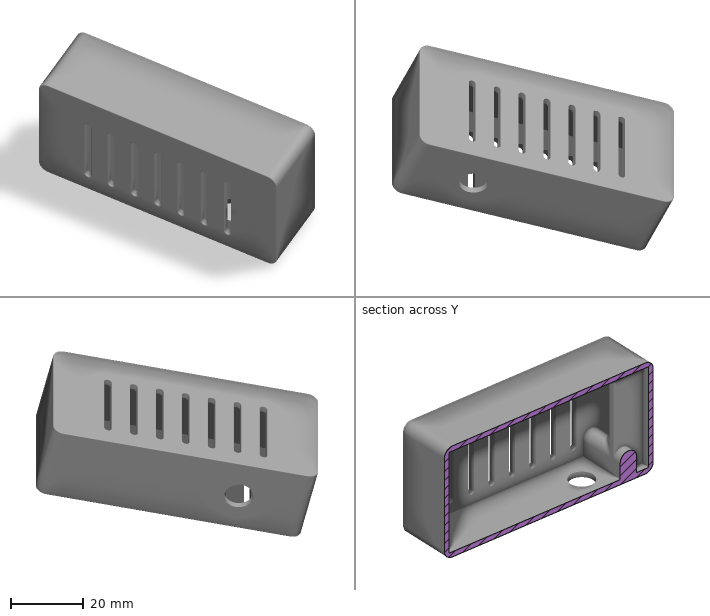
import cadquery as cq

LENGTH = 75.0
DEPTH = 22.2
HEIGHT = 36.0
CORNER_RADIUS = 3.0
EDGE_RADIUS = 0.2

WALL = 1.8
LID_THICKNESS = 2.0
FRONT_Y = -DEPTH / 2
BACK_Y = DEPTH / 2
SEAM_Y = BACK_Y - LID_THICKNESS
INNER_FRONT_Y = FRONT_Y + WALL
CAVITY_DEPTH = SEAM_Y - INNER_FRONT_Y
CAVITY_LENGTH = LENGTH - 2 * WALL
CAVITY_HEIGHT = HEIGHT - 2 * WALL
FLOOR_Z = -CAVITY_HEIGHT / 2
INNER_END_X = CAVITY_LENGTH / 2

SLOT_COUNT = 7
FIRST_TO_LAST_SLOT = 44.0
SLOT_PITCH = FIRST_TO_LAST_SLOT / (SLOT_COUNT - 1)
SLOT_WIDTH = 2.0
SLOT_LENGTH = 22.0
SLOT_CENTRE_Z = -2.0

OPENING_DIAMETER = 8.0
OPENING_X = 17.5

RIB_WIDTH = 6.0
RIB_X = 28.5
RIB_AXIS_Z = -11.0

PARTITION_Y = -4.1
PARTITION_THICKNESS = WALL
PARTITION_START_X = RIB_X - RIB_WIDTH / 2


def xz_plane(y):
    """Sketch plane at the given y, with X to the right, Z up and extrusion toward -Y."""
    return cq.Workplane("XZ", origin=(0, y, 0))


def rounded_slab(y_front, y_back):
    """Outer outline of the case between two y positions."""
    slab = xz_plane(y_back).rect(LENGTH, HEIGHT).extrude(y_back - y_front)
    return slab.edges("|Y").fillet(CORNER_RADIUS)


def vent_slots(y_front, y_back):
    """Cutters for the row of slots between two y positions."""
    first_x = -FIRST_TO_LAST_SLOT / 2
    centres = [(first_x + index * SLOT_PITCH, SLOT_CENTRE_Z) for index in range(SLOT_COUNT)]
    outlines = xz_plane(y_back).pushPoints(centres).slot2D(SLOT_LENGTH, SLOT_WIDTH, 90)
    return outlines.extrude(y_back - y_front)


def make_cavity():
    """Interior space of the housing, open toward the lid."""
    return xz_plane(SEAM_Y).rect(CAVITY_LENGTH, CAVITY_HEIGHT).extrude(CAVITY_DEPTH)


def make_rib():
    """Rib with a half-round top, running from the front wall to the lid."""
    leg_height = RIB_AXIS_Z - FLOOR_Z
    leg_centre_z = FLOOR_Z + leg_height / 2
    leg = xz_plane(SEAM_Y).center(RIB_X, leg_centre_z).rect(RIB_WIDTH, leg_height).extrude(CAVITY_DEPTH)
    top = xz_plane(SEAM_Y).center(RIB_X, RIB_AXIS_Z).circle(RIB_WIDTH / 2).extrude(CAVITY_DEPTH)
    return leg.union(top)


def make_partition():
    """Full-height plate between the rib and the end wall."""
    length = INNER_END_X - PARTITION_START_X
    return (
        xz_plane(PARTITION_Y + PARTITION_THICKNESS)
        .center(PARTITION_START_X + length / 2, 0)
        .rect(length, CAVITY_HEIGHT)
        .extrude(PARTITION_THICKNESS)
    )


def make_bottom_opening():
    """Vertical cutter through the bottom wall."""
    return (
        cq.Workplane("XY", origin=(OPENING_X, 0, -HEIGHT / 2))
        .circle(OPENING_DIAMETER / 2)
        .extrude(WALL)
    )


def make_housing():
    """Open-backed case with rounded front edges and slot rims."""
    body = rounded_slab(FRONT_Y, SEAM_Y).cut(make_cavity())
    body = body.union(make_rib()).union(make_partition())
    body = body.cut(make_bottom_opening())
    body = body.cut(vent_slots(FRONT_Y, INNER_FRONT_Y))
    return body.faces("<Y").edges().fillet(EDGE_RADIUS)


def make_lid():
    """Slotted back plate with a rounded outer edge."""
    body = rounded_slab(SEAM_Y, BACK_Y).faces(">Y").edges().fillet(EDGE_RADIUS)
    return body.cut(vent_slots(SEAM_Y, BACK_Y))


housing = make_housing()
lid = make_lid()

result = cq.Compound.makeCompound([housing.val(), lid.val()])